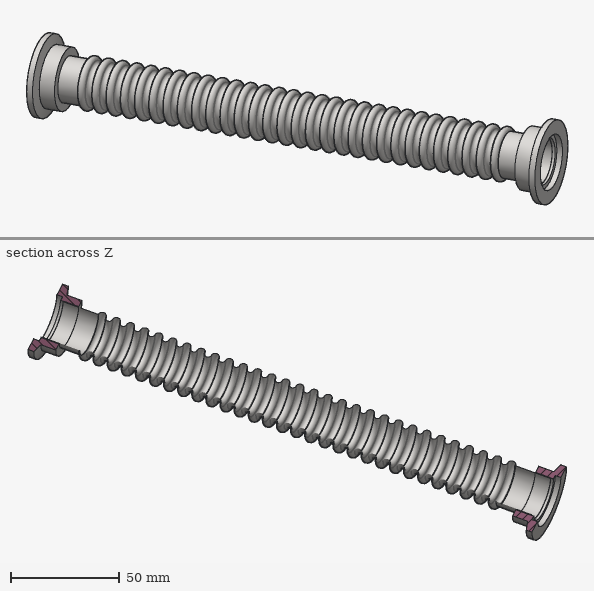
import cadquery as cq
import math

overall_length = 254.0
half_length = overall_length / 2

flange_radius = 20.0
rim_thickness = 3.0
taper_end = 4.4
collar_radius = 15.2
flange_length = 12.0
recess_radius = 13.3
recess_depth = 2.8

wall = 0.25
cuff_radius = 11.15
cuff_setback = 1.4
cuff_end = half_length - recess_depth - cuff_setback
convolution_count = 30
convolution_pitch = 7.112
crest_round = 1.95
valley_round = convolution_pitch / 2 - crest_round
base_radius = cuff_radius
last_crest = convolution_pitch * (convolution_count - 1) / 2


def make_flange():
    """Left-hand flange: tapered rim, collar and a stepped bore that takes the hose cuff."""
    face = -half_length
    step = face + recess_depth
    inner_end = face + flange_length
    return (
        cq.Workplane("XY")
        .moveTo(face, recess_radius)
        .lineTo(face, flange_radius)
        .lineTo(face + rim_thickness, flange_radius)
        .lineTo(face + taper_end, collar_radius)
        .lineTo(inner_end, collar_radius)
        .lineTo(inner_end, cuff_radius)
        .lineTo(step, cuff_radius)
        .lineTo(step, recess_radius)
        .close()
        .revolve(360, (0, 0, 0), (1, 0, 0))
    )


def add_skin(profile, offset, direction):
    """Draw one skin of the hose, offset inward from the outside, toward +X (1) or toward -X (-1)."""
    end_radius = cuff_radius - offset
    crest_arc = crest_round - offset
    valley_arc = valley_round + offset

    cuff_reach = direction * math.sqrt(crest_arc**2 - (end_radius - base_radius) ** 2)
    first = -direction * last_crest
    last = direction * last_crest

    profile = profile.lineTo(first - cuff_reach, end_radius)
    for index in range(convolution_count - 1):
        crest = first + direction * index * convolution_pitch
        valley = crest + direction * convolution_pitch / 2
        crest_end = (crest + direction * crest_arc, base_radius)
        valley_end = (valley + direction * valley_arc, base_radius)
        profile = (
            profile.threePointArc((crest, base_radius + crest_arc), crest_end)
            .threePointArc((valley, base_radius - valley_arc), valley_end)
        )
    return (
        profile.threePointArc((last, base_radius + crest_arc), (last + cuff_reach, end_radius))
        .lineTo(direction * cuff_end, end_radius)
    )


def make_hose():
    """Thin-walled hose, its crests and valleys made of alternating half circles."""
    outside = 0
    toward_right = 1
    toward_left = -1
    profile = cq.Workplane("XY").moveTo(-cuff_end, cuff_radius)
    profile = add_skin(profile, outside, toward_right)
    profile = profile.lineTo(cuff_end, cuff_radius - wall)
    profile = add_skin(profile, wall, toward_left)
    return profile.close().revolve(360, (0, 0, 0), (1, 0, 0))


left_flange = make_flange()
right_flange = left_flange.mirror("YZ")
hose = make_hose()

result = cq.Compound.makeCompound([left_flange.val(), right_flange.val(), hose.val()])